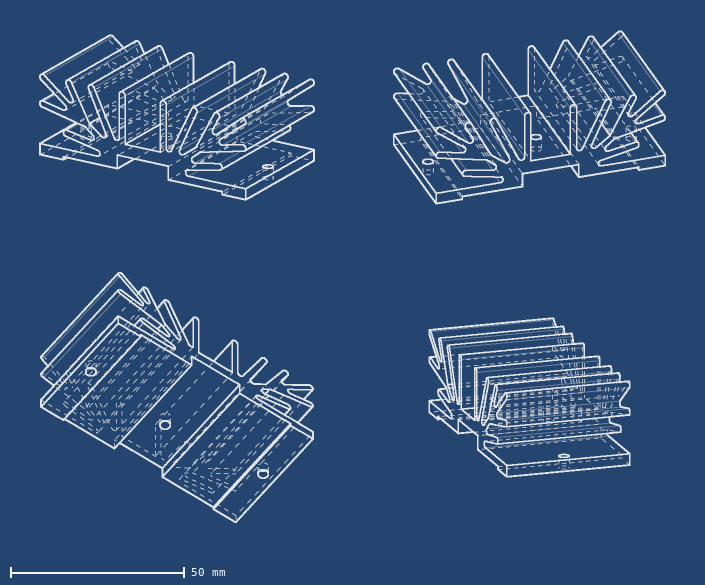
import cadquery as cq
import math

width = 70.0
length = 37.5
height = 25.0
half_width = width / 2

flange_top = 3.4
foot_height = 0.9
foot_width = 8.05
channel_half_width = 8.6
web_bottom = 5.1
web_top = 8.95

tip_radius = 1.0
valley_radius = 0.9
top_tip_z = height - tip_radius
outer_tip_x = -half_width + tip_radius
inner_fin_x = -7.0
inner_face_x = inner_fin_x + tip_radius
inner_valley_x = inner_fin_x - tip_radius - valley_radius

hole_diameter = 3.0
web_hole_y = -5.75
flange_hole_x = half_width - foot_width / 2


def tip(x, z):
    return (x, z, tip_radius)


def valley(x, z):
    return (x, z, -valley_radius)


def corner(x, z):
    return (x, z, 0)


left_half = [
    corner(0, web_top),
    corner(inner_face_x, web_top),
    tip(inner_fin_x, top_tip_z),
    valley(inner_valley_x, 10.6),
    tip(-17.5, top_tip_z),
    valley(-13.4, 10.5),
    corner(-18.1, 12.95),
    tip(-25.1, top_tip_z),
    valley(-24.6, 19.0),
    tip(outer_tip_x, top_tip_z),
    valley(-26.9, 16.25),
    tip(outer_tip_x, 15.8),
    corner(-19.45, 11.6),
    valley(-17.5, 8.8),
    tip(-26.0, 8.4),
    valley(-15.5, flange_top + valley_radius),
    corner(-half_width, flange_top),
    corner(-half_width, 0),
    corner(-half_width + foot_width, 0),
    corner(-half_width + foot_width, foot_height),
    corner(-channel_half_width, foot_height),
    corner(-channel_half_width, web_bottom),
    corner(0, web_bottom),
]


def tangent_line(start, end):
    """Return both ends of the straight side joining two rounds, and its normal angle."""
    x1, z1, radius1 = start
    x2, z2, radius2 = end
    distance = math.hypot(x2 - x1, z2 - z1)
    direction = math.atan2(z2 - z1, x2 - x1)
    normal = direction - math.acos((radius1 - radius2) / distance)
    cosine = math.cos(normal)
    sine = math.sin(normal)
    line_start = (x1 + radius1 * cosine, z1 + radius1 * sine)
    line_end = (x2 + radius2 * cosine, z2 + radius2 * sine)
    return line_start, line_end, normal


def make_half_body():
    """Extrude the left half, joining its rounds with tangent sides."""
    sides = [tangent_line(start, end) for start, end in zip(left_half, left_half[1:])]
    profile = cq.Workplane("XZ").moveTo(*sides[0][0])
    for index, (_, line_end, normal) in enumerate(sides):
        profile = profile.lineTo(*line_end)
        x, z, radius = left_half[index + 1]
        if radius != 0:
            next_start, _, next_normal = sides[index + 1]
            turn = (next_normal - normal) % math.tau
            if radius < 0:
                turn -= math.tau
            middle = normal + turn / 2
            arc_middle = (x + radius * math.cos(middle), z + radius * math.sin(middle))
            profile = profile.threePointArc(arc_middle, next_start)
    return profile.close().extrude(length / 2, both=True)


def make_holes():
    """One hole through the web, and one through each flange."""
    web_hole = (
        cq.Workplane("XY", origin=(0, 0, web_bottom))
        .center(0, web_hole_y)
        .circle(hole_diameter / 2)
        .extrude(web_top - web_bottom)
    )
    flange_holes = (
        cq.Workplane("XY")
        .pushPoints([(-flange_hole_x, 0), (flange_hole_x, 0)])
        .circle(hole_diameter / 2)
        .extrude(flange_top)
    )
    return web_hole.union(flange_holes)


half_body = make_half_body()
body = half_body.union(half_body.mirror("YZ")).clean()
result = body.cut(make_holes())